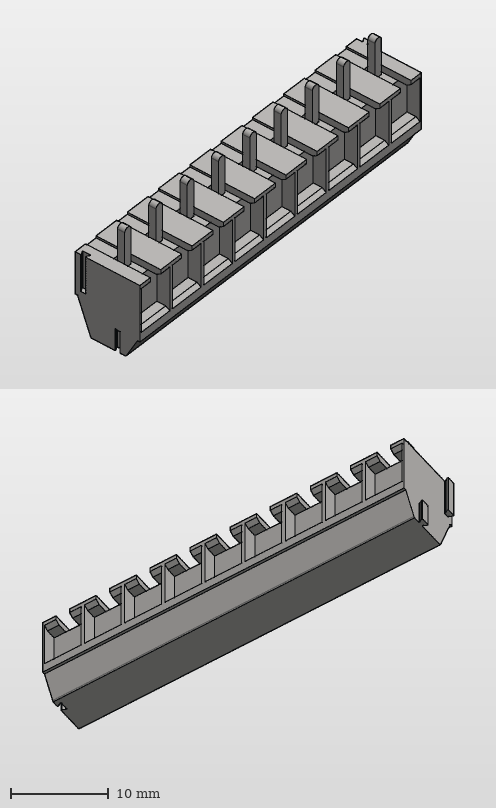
import cadquery as cq
pole_count = 9
pole_row_length = 40.0
pole_pitch = pole_row_length / (pole_count - 1)
end_margin = 2.5
housing_width = 8.6
housing_height = 10.25
housing_length = pole_row_length + 2 * end_margin

left_wall_height = 5.55
left_step = 0.3
right_wall_height = 7.45
right_step = 0.3
base_left = 2.05
base_right = 6.85
base_bevel_width = 0.1
base_bevel_height = 0.15

slot_width = 1.7
slot_depth = 0.27
pit_start = 3.55
pit_depth = 0.9

opening_start = 6.9
flare_start = 8.05
opening_width = 4.55
opening_bottom = 5.95
flare_rise = 0.35

pin_center_x = 4.45
pin_size_x = 0.95
pin_size_y = 1.05
pin_height = 4.25
pin_crown = 0.4

key_length = 0.6
key_tip_width = 1.0
key_root_width = 0.65
key_neck_length = 0.15
key_tip_thickness = 0.15
upper_key_x = 1.05
upper_key_height = 4.85
lower_key_x = 5.65
lower_key_height = housing_height - right_wall_height


def box(x_range, y_range, z_range):
    """Box between the given limits."""
    size = [high - low for low, high in (x_range, y_range, z_range)]
    corner = (x_range[0], y_range[0], z_range[0])
    return cq.Workplane("XY").box(*size, centered=False).translate(corner)


def make_housing():
    """Solid bar with a cross-section that narrows towards a bevelled base."""
    bevel_z = -housing_height + base_bevel_height
    return (
        cq.Workplane("XZ")
        .moveTo(0, 0)
        .lineTo(housing_width, 0)
        .lineTo(housing_width, -right_wall_height)
        .lineTo(housing_width - right_step, -right_wall_height)
        .lineTo(base_right, bevel_z)
        .lineTo(base_right - base_bevel_width, -housing_height)
        .lineTo(base_left + base_bevel_width, -housing_height)
        .lineTo(base_left, bevel_z)
        .lineTo(left_step, -left_wall_height)
        .lineTo(0, -left_wall_height)
        .close()
        .extrude(-housing_length)
    )


def make_slot(pole_y):
    """Shallow slot across the top that deepens around the pin."""
    y_range = (pole_y - slot_width / 2, pole_y + slot_width / 2)
    shallow = box((0, housing_width), y_range, (-slot_depth, 0))
    pit = box((pit_start, housing_width), y_range, (-pit_depth, 0))
    return shallow.union(pit)


def make_wire_opening(pole_y):
    """Rectangular opening whose top and bottom flare outwards."""
    return (
        cq.Workplane("XZ", origin=(0, pole_y, 0))
        .moveTo(opening_start, -pit_depth)
        .lineTo(flare_start, -pit_depth)
        .lineTo(housing_width, -pit_depth + flare_rise)
        .lineTo(housing_width, -opening_bottom - flare_rise)
        .lineTo(flare_start, -opening_bottom)
        .lineTo(opening_start, -opening_bottom)
        .close()
        .extrude(opening_width / 2, both=True)
    )


def make_pin(pole_y):
    """Rectangular pin with a crown rounded across its Y width."""
    half_width = pin_size_y / 2
    shoulder = pin_height - pin_crown
    return (
        cq.Workplane("YZ", origin=(pin_center_x, pole_y, 0))
        .moveTo(-half_width, -pit_depth)
        .lineTo(-half_width, shoulder)
        .threePointArc((0, pin_height), (half_width, shoulder))
        .lineTo(half_width, -pit_depth)
        .close()
        .extrude(pin_size_x / 2, both=True)
    )


def make_dovetail(center_x, root_y, z_bottom, height):
    """Upright dovetail with a short neck that widens from its root towards +Y."""
    half_root = key_root_width / 2
    half_tip = key_tip_width / 2
    taper_end = key_length - key_tip_thickness
    return (
        cq.Workplane("XY", origin=(center_x, root_y, z_bottom))
        .moveTo(-half_root, 0)
        .lineTo(-half_root, key_neck_length)
        .lineTo(-half_tip, taper_end)
        .lineTo(-half_tip, key_length)
        .lineTo(half_tip, key_length)
        .lineTo(half_tip, taper_end)
        .lineTo(half_root, key_neck_length)
        .lineTo(half_root, 0)
        .close()
        .extrude(height)
    )


result = make_housing()

pole_positions = [end_margin + i * pole_pitch for i in range(pole_count)]
for pole_y in pole_positions:
    result = result.cut(make_slot(pole_y))
    result = result.cut(make_wire_opening(pole_y))
    result = result.union(make_pin(pole_y))

dovetails = [
    (upper_key_x, -upper_key_height, upper_key_height),
    (lower_key_x, -housing_height, lower_key_height),
]
for center_x, z_bottom, height in dovetails:
    result = result.cut(make_dovetail(center_x, 0, z_bottom, height))
    result = result.union(make_dovetail(center_x, housing_length, z_bottom, height))